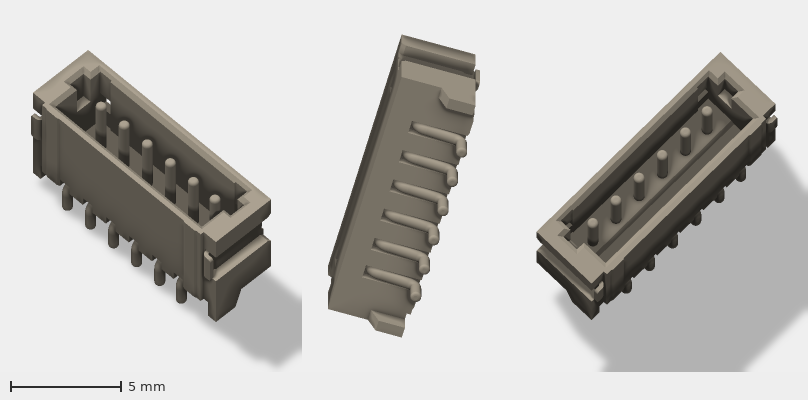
import cadquery as cq
import math


length = 11.92
half_length = length / 2
height = 5.0
wing_depth = 3.5
wall_depth = 3.7
wall_inset = 0.8

overlap = 0.12

pad_start = 1.06
pad_end = 1.92
pad_slope = 0.11
pad_depth = 3.74

foot_width = 0.5
foot_drop = 1.0
foot_top_depth = 1.9
foot_toe_depth = 2.26

mouth_inset = 0.98
mouth_back = 0.25
mouth_front = 3.45
key_inset = 0.52
key_back = 0.8
key_front = 2.06
lead_in = 0.2
key_floor = 3.13
rear_floor = 1.19
floor_drop = 0.18
front_floor = rear_floor - floor_drop

relief_depth = 0.39
relief_end = 1.92
window_bottom = 2.26
window_top = 3.23

recess_bottom = 2.05
recess_top = 3.81
recess_inset = 0.5
recess_flare = 0.18
flare_depth = 0.2

corner_bottom = 2.31
corner_top = 3.52
corner_chamfer = 0.13
corner_middle = 0.1
corner_taper_start = 0.04
corner_end_length = 0.29

tab_thickness = 0.2
tab_bottom = 2.16
tab_top = 3.67
tab_inset = 0.12
tab_front = 3.75
tab_bend = 0.1
tab_corner = 0.14
shoulder_depth = 3.0
tab_root = recess_inset + tab_thickness

pin_diameter = 0.5
pin_radius = pin_diameter / 2
pin_pitch = 1.5
first_pin = -3.71
last_pin = 3.71
pitched_pins = 5

pin_positions = [first_pin + i * pin_pitch for i in range(pitched_pins)] + [last_pin]
pin_top = 4.25
pin_bottom = -1.5
pin_row_depth = 1.37
tail_depth = tab_front - pin_radius
upper_bend = 0.54
lower_bend = 0.4
lower_bend_end = -0.4
run_slope = math.radians(6)
pin_round = 0.14
channel_width = 0.62
channel_height = 0.5


def block(x0, x1, depth0, depth1, z0, z1):
    """Box between two X places, two depths and two heights."""
    size = (x1 - x0, depth1 - depth0, z1 - z0)
    return cq.Workplane("XY").box(*size, centered=False).translate((x0, -depth1, z0))


def left_block(inset0, inset1, depth0, depth1, z0, z1):
    """Box at the -X end, placed by its insets from that end."""
    return block(inset0 - half_length, inset1 - half_length, depth0, depth1, z0, z1)


def side_prism(points, x0, x1):
    """Prism along X from a profile of (depth, height) points."""
    profile = [(-depth, z) for depth, z in points]
    return cq.Workplane("YZ").polyline(profile).close().extrude(x1 - x0).translate((x0, 0, 0))


def both_ends(shape):
    """The shape together with its mirror image at the +X end."""
    return shape.union(shape.mirror("YZ"))


def front_pad():
    """Full-height pad with sloping sides on the front wall."""
    x0 = pad_start - half_length
    x1 = pad_end - half_length
    return (
        cq.Workplane("XY")
        .moveTo(x0, -wall_depth + overlap)
        .lineTo(x0, -wall_depth)
        .lineTo(x0 + pad_slope, -pad_depth)
        .lineTo(x1 - pad_slope, -pad_depth)
        .lineTo(x1, -wall_depth)
        .lineTo(x1, -wall_depth + overlap)
        .close()
        .extrude(height)
    )


def foot():
    """Foot below one end, with a sloping back."""
    profile = [
        (foot_top_depth, overlap),
        (foot_top_depth, 0),
        (foot_toe_depth, -foot_drop),
        (wing_depth, -foot_drop),
        (wing_depth, overlap),
    ]
    return side_prism(profile, -half_length, foot_width - half_length)


def mouth_points(margin):
    """Cavity outline with its key slots, shrunk all round by the margin."""
    x_side = half_length - mouth_inset - margin
    x_key = half_length - key_inset - margin
    right = [
        (x_side, -mouth_back - margin),
        (x_side, -key_back - margin),
        (x_key, -key_back - margin),
        (x_key, -key_front + margin),
        (x_side, -key_front + margin),
        (x_side, -mouth_front + margin),
    ]
    left = [(-x, y) for x, y in reversed(right)]
    return right + left


def cavity():
    """Stepped well with a chamfered mouth and shallower key slots."""
    side = half_length - mouth_inset - lead_in
    rear = mouth_back + lead_in
    front = mouth_front - lead_in
    ledge = key_front - lead_in

    lead = (
        cq.Workplane("XY", origin=(0, 0, height))
        .polyline(mouth_points(0))
        .close()
        .workplane(offset=-lead_in)
        .polyline(mouth_points(lead_in))
        .close()
        .loft(ruled=True)
    )
    key_slots = (
        cq.Workplane("XY", origin=(0, 0, key_floor))
        .polyline(mouth_points(lead_in))
        .close()
        .extrude(height - key_floor)
    )
    well_profile = [
        (rear, height),
        (rear, rear_floor),
        (ledge, rear_floor),
        (ledge + floor_drop, front_floor),
        (front, front_floor),
        (front, height),
    ]
    well = side_prism(well_profile, -side, side)
    return lead.union(key_slots).union(well)


def rear_relief():
    """Thinner part of the back wall near the end, with a window through it."""
    start = mouth_inset + lead_in
    relief = left_block(start, relief_end, relief_depth, relief_depth + overlap, rear_floor, height)
    window = left_block(start, relief_end, -overlap, relief_depth + overlap, window_bottom, window_top)
    return relief.union(window)


def corner_notch():
    """Chamfer on the back edge of the recess, tapered at its ends and shallower in the middle."""
    x_edge = recess_inset - half_length
    bevel = (
        cq.Workplane("XY", origin=(0, 0, corner_bottom))
        .polyline([(x_edge, 0), (x_edge + corner_chamfer, 0), (x_edge, -corner_chamfer)])
        .close()
        .extrude(corner_top - corner_bottom)
    )
    taper = corner_chamfer - corner_taper_start
    outline = [
        (0, corner_bottom),
        (corner_taper_start, corner_bottom),
        (corner_chamfer, corner_bottom + taper),
        (corner_chamfer, corner_bottom + corner_end_length),
        (corner_middle, corner_bottom + corner_end_length),
        (corner_middle, corner_top - corner_end_length),
        (corner_chamfer, corner_top - corner_end_length),
        (corner_chamfer, corner_top - taper),
        (corner_taper_start, corner_top),
        (0, corner_top),
    ]
    return bevel.intersect(side_prism(outline, x_edge, x_edge + corner_chamfer))


def tab_shoulder(recess_edge, tab_edge):
    """45 degree slope where the sheet narrows from the recess width to the tab width."""
    slope = [
        (shoulder_depth, recess_edge),
        (shoulder_depth + abs(recess_edge - tab_edge), tab_edge),
        (shoulder_depth, tab_edge),
    ]
    return side_prism(slope, recess_inset - half_length, tab_root - half_length)


def side_recess():
    """Band across the end face, flared at the back and deeper around the solder tab."""
    flared = [
        (0, recess_bottom - recess_flare),
        (flare_depth, recess_bottom),
        (wing_depth + overlap, recess_bottom),
        (wing_depth + overlap, recess_top),
        (flare_depth, recess_top),
        (0, recess_top + recess_flare),
    ]
    band = side_prism(flared, -half_length, recess_inset - half_length)
    pocket = left_block(0, tab_root, shoulder_depth, wing_depth + overlap, recess_bottom, recess_top)
    for recess_edge, tab_edge in [(recess_top, tab_top), (recess_bottom, tab_bottom)]:
        pocket = pocket.cut(tab_shoulder(recess_edge, tab_edge))
    return band.union(pocket).union(corner_notch())


def solder_tab():
    """Sheet lying in the recess and bent outward into a foot at the front."""
    outer = recess_inset - half_length
    inner = tab_root - half_length
    tip = tab_inset - half_length
    outer_bend = tab_bend + tab_thickness
    bend_start = tab_front - outer_bend
    foot_back = tab_front - tab_thickness
    tab = (
        cq.Workplane("XY", origin=(0, 0, tab_bottom))
        .moveTo(outer, -shoulder_depth + overlap)
        .lineTo(inner, -shoulder_depth + overlap)
        .lineTo(inner, -bend_start)
        .radiusArc((inner - outer_bend, -tab_front), outer_bend)
        .lineTo(tip, -tab_front)
        .lineTo(tip, -foot_back)
        .lineTo(outer - tab_bend, -foot_back)
        .radiusArc((outer, -bend_start), -tab_bend)
        .close()
        .extrude(tab_top - tab_bottom)
    )
    return tab.edges("|Y and <X").fillet(tab_corner)


def pin_channel(x):
    """Groove in the underside that lets a pin tail out through the front wall."""
    half_width = channel_width / 2
    back = pin_row_depth - half_width
    return block(x - half_width, x + half_width, back, wall_depth + overlap, 0, channel_height)


def pin(x):
    """Round pin running down, gently sloping forward and down again, with rounded tips."""
    across = math.sin(run_slope)
    along = math.cos(run_slope)
    run_end_y = -tail_depth + lower_bend * (1 - across)
    run_end_z = lower_bend_end + lower_bend * along
    run_start_y = -pin_row_depth - upper_bend * (1 - across)
    run_start_z = run_end_z + (run_start_y - run_end_y) * math.tan(run_slope)
    upper_bend_start = run_start_z + upper_bend * along
    path = (
        cq.Workplane("YZ")
        .moveTo(-pin_row_depth, pin_top)
        .lineTo(-pin_row_depth, upper_bend_start)
        .radiusArc((run_start_y, run_start_z), upper_bend)
        .lineTo(run_end_y, run_end_z)
        .radiusArc((-tail_depth, lower_bend_end), -lower_bend)
        .lineTo(-tail_depth, pin_bottom)
    )
    bar = cq.Workplane("XY", origin=(0, -pin_row_depth, pin_top)).circle(pin_radius).sweep(path)
    return bar.faces(">Z or <Z").edges().fillet(pin_round).translate((x, 0, 0))


housing = block(-half_length, half_length, 0, wing_depth, 0, height)
wall_half = half_length - wall_inset
housing = housing.union(block(-wall_half, wall_half, wing_depth - overlap, wall_depth, 0, height))
housing = housing.union(both_ends(front_pad())).union(both_ends(foot()))
housing = housing.cut(cavity())
housing = housing.cut(both_ends(rear_relief()))
housing = housing.cut(both_ends(side_recess()))

result = housing.union(both_ends(solder_tab()))
for x in pin_positions:
    result = result.cut(pin_channel(x)).union(pin(x))